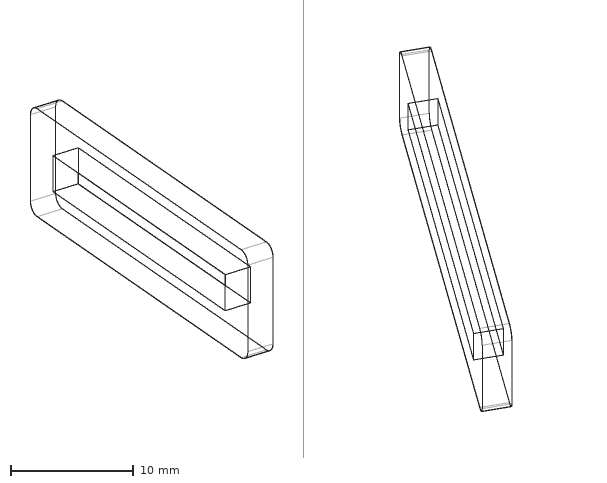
import cadquery as cq

length = 32.0
thickness = 2.5
height = 10.0

corner_radius = 1.0
rim_width = 3.33

slot_length = length - 2 * rim_width
slot_height = height - 2 * rim_width

plate = cq.Workplane("XY").box(length, thickness, height)
plate = plate.edges("|Y").fillet(corner_radius)

slot = cq.Workplane("XY").box(slot_length, thickness, slot_height)

result = plate.cut(slot)